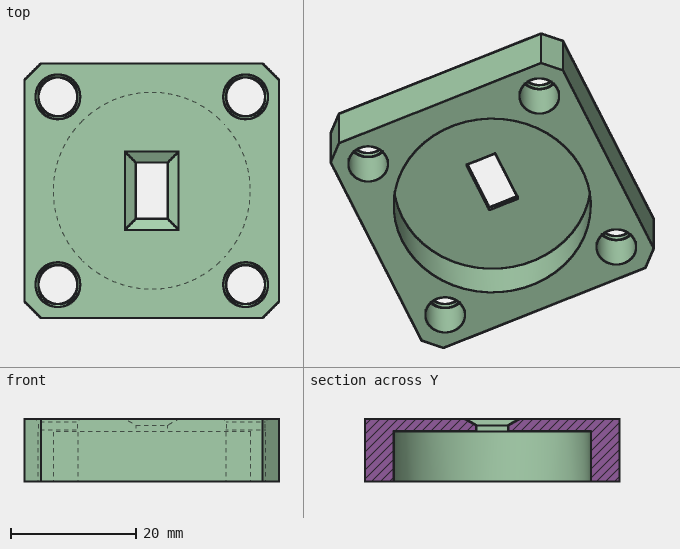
import cadquery as cq

side = 40.6
thickness = 10.0
corner_chamfer = 2.65

hole_spacing = 29.92
hole_diameter = 6.17
hole_chamfer = 0.5
hole_land_depth = 1.8
relief_diameter = 6.35

window_x = 5.05
window_y = 8.95
mouth_flare = 1.8
mouth_depth = 1.0

web_thickness = 2.0
recess_diameter = 31.42


def make_plate():
    plate = cq.Workplane("XY").box(side, side, thickness, centered=(True, True, False))
    return plate.edges("|Z").chamfer(corner_chamfer)


def make_bolt_holes():
    radius = hole_diameter / 2
    relief_radius = relief_diameter / 2
    land_bottom = thickness - hole_land_depth
    half_section = [
        (0, 0),
        (relief_radius, 0),
        (relief_radius, land_bottom),
        (radius, land_bottom),
        (radius, thickness - hole_chamfer),
        (radius + hole_chamfer, thickness),
        (0, thickness),
    ]
    hole = cq.Workplane("XZ").polyline(half_section).close().revolve(360, (0, 0), (0, 1)).val()
    return (
        cq.Workplane("XY")
        .rect(hole_spacing, hole_spacing, forConstruction=True)
        .vertices()
        .eachpoint(lambda location: hole.moved(location))
    )


def make_window():
    throat = cq.Workplane("XY").rect(window_x, window_y).extrude(thickness)
    mouth = (
        cq.Workplane("XY", origin=(0, 0, thickness))
        .rect(window_x + 2 * mouth_flare, window_y + 2 * mouth_flare)
        .workplane(offset=-mouth_depth)
        .rect(window_x, window_y)
        .loft(ruled=True)
    )
    return throat.union(mouth)


def make_recess():
    return cq.Workplane("XY").circle(recess_diameter / 2).extrude(thickness - web_thickness)


result = make_plate().cut(make_bolt_holes()).cut(make_window()).cut(make_recess())